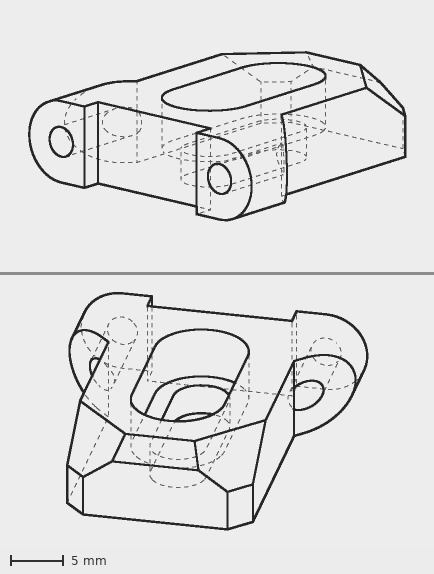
import cadquery as cq

length = 30.0
height = 8.0
overall_width = 27.75
body_width = 18.0

ear_radius = height / 2
ear_center_x = overall_width / 2 - ear_radius
ear_rear_y = 10.0
ear_overhang = (overall_width - body_width) / 2
pin_diameter = 2.9

notch_width = 14.0
notch_depth = 2.0

slot_center_y = length / 2
slot_travel = 10.0
slot_width = 5.4
recess_width = 9.0
recess_depth = 5.0

corner_chamfer = 2.0
corner_bevel = 4.0
nose_chamfer = 2.0


def make_body():
    """Plate with clipped rear corners and bevelled upper nose edges."""
    body = cq.Workplane("XY").box(body_width, length, height, centered=(True, False, False))
    body = body.edges("|Z and >Y").chamfer(corner_chamfer)

    nose_cut = (
        cq.Workplane("YZ")
        .moveTo(length - nose_chamfer, height)
        .lineTo(length, height - nose_chamfer)
        .lineTo(length, height)
        .close()
        .extrude(body_width / 2, both=True)
    )
    body = body.cut(nose_cut)

    corner_x = (body_width - corner_chamfer) / 2
    corner_y = length - corner_chamfer / 2
    for side in (-1, 1):
        outward = cq.Vector(side, 1, 0)
        along = cq.Vector(-1, side, 0)
        plane = cq.Plane(origin=(side * corner_x, corner_y, height), xDir=outward, normal=along)
        down = -corner_bevel * plane.yDir.z
        bevel_cut = (
            cq.Workplane(plane)
            .polyline([(0, 0), (-corner_bevel, 0), (0, down)])
            .close()
            .extrude(body_width, both=True)
        )
        body = body.cut(bevel_cut)
    return body


def make_ears():
    """Both ears as one rounded bar, trimmed by the angled rear faces."""
    bar = (
        cq.Workplane("XZ", origin=(0, 0, height / 2))
        .slot2D(overall_width, height)
        .extrude(-ear_rear_y)
    )
    outline = (
        cq.Workplane("XY")
        .moveTo(-overall_width / 2, 0)
        .lineTo(overall_width / 2, 0)
        .lineTo(overall_width / 2, ear_rear_y - ear_overhang)
        .lineTo(body_width / 2, ear_rear_y)
        .lineTo(-body_width / 2, ear_rear_y)
        .lineTo(-overall_width / 2, ear_rear_y - ear_overhang)
        .close()
        .extrude(height)
    )
    return bar.intersect(outline)


def make_slot():
    """Through slot with a wider recess from the top face."""
    through = (
        cq.Workplane("XY", origin=(0, slot_center_y, 0))
        .slot2D(slot_travel + slot_width, slot_width, 90)
        .extrude(height)
    )
    recess = (
        cq.Workplane("XY", origin=(0, slot_center_y, height))
        .slot2D(slot_travel + recess_width, recess_width, 90)
        .extrude(-recess_depth)
    )
    return through.union(recess)


def make_pin_holes():
    """Holes along Y that end level with the back of the ears."""
    return (
        cq.Workplane("XZ", origin=(0, 0, height / 2))
        .pushPoints([(-ear_center_x, 0), (ear_center_x, 0)])
        .circle(pin_diameter / 2)
        .extrude(-ear_rear_y)
    )


notch = cq.Workplane("XY").box(notch_width, notch_depth, height, centered=(True, False, False))

result = make_body().union(make_ears()).cut(notch).cut(make_slot()).cut(make_pin_holes())